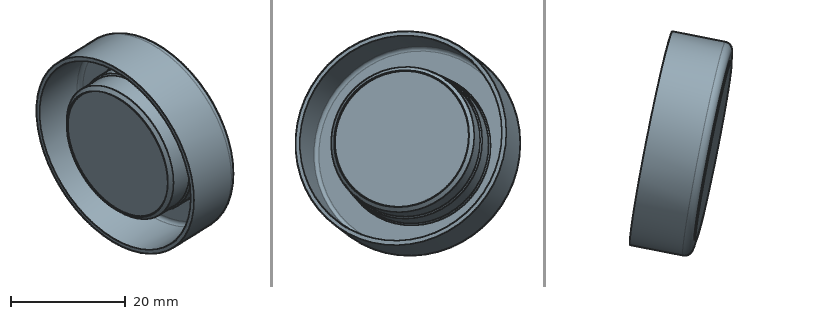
import cadquery as cq
outer_radius = 19.05
total_depth = 11.13
wall = 0.8
outer_fillet = 1.5
inner_fillet = outer_fillet - wall

pad_radius = 15.95
pad_height = 0.25

boss_tip_depth = 0.5
boss_tip_radius = 12.93
tip_chamfer = 0.73
neck_length = 4.0
shoulder_radius = 13.24
shoulder_length = 0.25
base_chamfer = 0.29

recess_floor_radius = 12.07
recess_depth = 0.2

cup_depth = total_depth - pad_height
floor_y = cup_depth - wall
inner_radius = outer_radius - wall


def make_cup():
    body = cq.Workplane("XZ").circle(outer_radius).extrude(-cup_depth)
    body = body.faces(">Y").edges().fillet(outer_fillet)
    cavity = cq.Workplane("XZ").circle(inner_radius).extrude(-floor_y)
    cavity = cavity.faces(">Y").edges().fillet(inner_fillet)
    return body.cut(cavity)


def make_pad():
    return cq.Workplane("XZ", origin=(0, floor_y, 0)).circle(pad_radius).extrude(-(wall + pad_height))


def make_boss():
    recess_floor_y = boss_tip_depth + recess_depth
    neck_start_y = boss_tip_depth + tip_chamfer
    neck_end_y = neck_start_y + neck_length
    shoulder_end_y = neck_end_y + shoulder_length
    base_radius = shoulder_radius + base_chamfer
    boss_end_y = floor_y + wall / 2
    section = [
        (0, recess_floor_y),
        (recess_floor_radius, recess_floor_y),
        (boss_tip_radius - tip_chamfer, boss_tip_depth),
        (boss_tip_radius, neck_start_y),
        (boss_tip_radius, neck_end_y),
        (shoulder_radius, shoulder_end_y),
        (shoulder_radius, floor_y - base_chamfer),
        (base_radius, floor_y),
        (base_radius, boss_end_y),
        (0, boss_end_y),
    ]
    return cq.Workplane("XY").polyline(section).close().revolve(360, (0, 0, 0), (0, 1, 0))


result = make_cup().union(make_pad()).union(make_boss())